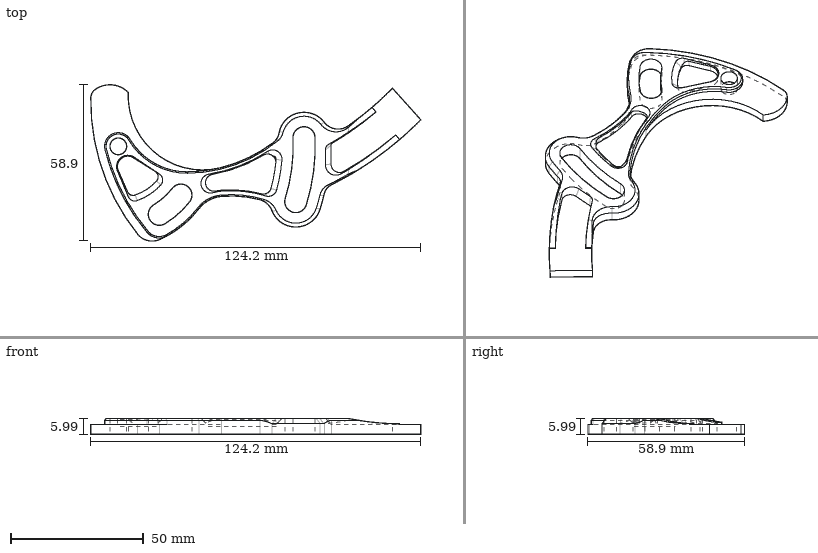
import cadquery as cq
import math


plate_top = 3.8
part_top = 5.99
pocket_floor = 3.0
ramp_low = 4.0

clearance = 10.0
cutter_width = 200.0
cutter_end_angle = -40.0
shortest_line = 0.001

pivot = (0.0, 0.0)
pivot_hole_radius = 3.1
slot_radius = 4.1
long_slot_path = 69.9
long_slot_angles = (-17.3, 2.65)
short_slot_path = 29.85
short_slot_angles = (-58.9, -37.9)

outer_center = (69.7, 17.13)
outer_radius = 80.1
cage_center = (31.7, 19.1)
cage_radius = 27.95
nose_center = (-3.13, 13.6)
nose_radius = 9.6
nose_blend = 4.1
foot_radius = 38.35
foot_corner = 6.9
foot_blend = 12.0
neck_top_center = (25.6, 44.4)
neck_bottom_center = (42.4, -61.2)
neck_bottom_radius = 42.5
boss_radius = 9.6
boss_lower_blend = 6.7
boss_upper_blend = 5.5
boss_side_radius = long_slot_path + boss_radius
arm_center = (23.8, 98.2)
arm_inner_radius = 110.05
arm_outer_radius = 126.0
arm_lower_blend = 5.2
arm_upper_blend = 6.6
arm_end_inner_angle = -43.9
arm_end_outer_angle = -44.43

pad_tip_radius = 5.15
pad_hollow = 24.8
pad_corner = 6.0
rim_slope = 37.0
rim_inset = 0.55
boss_rim_inset = 1.5

ramp_start_x = 86.6
ramp_end_x = 106.1
rail_width = 2.0
rail_end_angle = -49.4
channel_x = 77.9
channel_wall_inset = 0.3
channel_end_inset = 2.1
channel_corners = (3.9, 2.35)
channel_floor_corners = (3.2, 0.9)

foot_pocket_tip_center = (3.6, -7.6)
foot_pocket_tip_radius = 4.25
foot_pocket_end_radius = 21.6
foot_pocket_corner_angles = (-70.8, -42.2)
foot_pocket_corner = 2.7

pocket_slope = 45.0
pocket_side_inset = 0.35
pocket_end_inset = 2.2

neck_pocket_end_radius = 61.75
neck_pocket_top_inset = 1.5
neck_pocket_bottom_inset = 2.0
neck_pocket_corners = (3.6, 3.2, 3.5)
neck_base_corners = (3.19, 2.9, 3.1)


def polar(center, radius, degrees):
    angle = math.radians(degrees)
    return (center[0] + radius * math.cos(angle), center[1] + radius * math.sin(angle))


def arc(center, r):
    return (center[0], center[1], r)


def blend(before, after, r, choose=min):
    """Arc of signed radius r tangent to both neighbours, taking the shorter (min) or longer (max) turn."""
    dx, dy = after[0] - before[0], after[1] - before[1]
    gap = math.hypot(dx, dy)
    reach_before, reach_after = abs(before[2] - r), abs(after[2] - r)
    along = (gap**2 + reach_before**2 - reach_after**2) / (2 * gap)
    across = math.sqrt(reach_before**2 - along**2)
    candidates = []
    for side in (across, -across):
        x = before[0] + (dx * along - dy * side) / gap
        y = before[1] + (dy * along + dx * side) / gap
        candidates.append((x, y, r))
    return choose(candidates, key=lambda c: turn(before, c, after))


def turn(before, middle, after):
    """Unsigned angle swept by the middle arc between its two tangent neighbours."""
    start = tangent_points(before, middle)[1]
    end = tangent_points(middle, after)[0]
    return abs(sweep(middle, start, end))


def tangent_points(first, second):
    """Ends of the straight line leaving the first arc and entering the second."""
    dx, dy = second[0] - first[0], second[1] - first[1]
    gap = math.hypot(dx, dy)
    along = (first[2] - second[2]) / gap
    across = math.sqrt(max(0.0, 1 - along**2))
    nx = (dx * along + dy * across) / gap
    ny = (dy * along - dx * across) / gap
    return tuple((c[0] + c[2] * nx, c[1] + c[2] * ny) for c in (first, second))


def sweep(curve, start, end):
    """Signed angle, in radians, turned along the arc from start to end."""
    a0 = math.atan2(start[1] - curve[1], start[0] - curve[0])
    a1 = math.atan2(end[1] - curve[1], end[0] - curve[0])
    full = math.copysign(2 * math.pi, curve[2])
    return math.fmod(a1 - a0 + 2 * full, full)


def draw_arc(path, curve, start, end):
    x, y, r = curve
    half = sweep(curve, start, end) / 2
    dx, dy = start[0] - x, start[1] - y
    cos, sin = math.cos(half), math.sin(half)
    middle = (x + dx * cos - dy * sin, y + dx * sin + dy * cos)
    return path.threePointArc(middle, end)


def draw_chain(path, curves, start, end):
    """Tangent arcs from start to end, with a straight line wherever two arcs do not touch."""
    for curve, following in zip(curves, curves[1:]):
        leave, enter = tangent_points(curve, following)
        path = draw_arc(path, curve, start, leave)
        start = leave
        if math.dist(leave, enter) > shortest_line:
            path = path.lineTo(*enter)
            start = enter
    return draw_arc(path, curves[-1], start, end)


def closed_chain(curves, z):
    """Closed outline at height z of tangent arcs and the lines between them."""
    leave, enter = tangent_points(curves[-1], curves[0])
    path = cq.Workplane("XY", origin=(0, 0, z)).moveTo(*enter)
    if math.dist(leave, enter) > shortest_line:
        return draw_chain(path, curves, enter, leave).close()
    return draw_chain(path, curves, enter, enter).wire()


def offset(curve, inset):
    """Parallel arc moved toward the inside of its outline."""
    return (curve[0], curve[1], curve[2] - inset)


cage = arc(cage_center, -cage_radius)
neck_top = arc(neck_top_center, -cage_radius - math.dist(cage_center, neck_top_center))
neck_bottom = arc(neck_bottom_center, -neck_bottom_radius)
foot = arc(pivot, foot_radius)
boss_low = arc(polar(pivot, long_slot_path, long_slot_angles[0]), boss_radius)
boss_high = arc(polar(pivot, long_slot_path, long_slot_angles[1]), boss_radius)
boss_side = arc(pivot, boss_side_radius)
foot_bend = blend(foot, neck_bottom, -foot_blend)
arm_inner = arc(arm_center, -arm_inner_radius)
arm_outer = arc(arm_center, arm_outer_radius)


def upper_edge(edge_inset, boss_inset):
    """Arcs from the arm end over the boss to the top of the neck."""
    arm, neck = (offset(c, edge_inset) for c in (arm_inner, neck_top))
    high = offset(boss_high, boss_inset)
    return [
        arm,
        blend(arm, high, -arm_upper_blend - edge_inset),
        high,
        blend(high, neck, -boss_upper_blend - edge_inset),
        neck,
    ]


def lower_edge(edge_inset, boss_inset):
    """Arcs from the foot along the neck and round the boss to the arm end."""
    toe, neck, arm = (offset(c, edge_inset) for c in (foot, neck_bottom, arm_outer))
    low, side = offset(boss_low, boss_inset), offset(boss_side, boss_inset)
    return [
        toe,
        offset(foot_bend, edge_inset),
        neck,
        blend(neck, low, -boss_lower_blend - edge_inset),
        low,
        side,
        blend(side, arm, -arm_lower_blend - edge_inset),
        arm,
    ]


def circle_crossing(first, second):
    """Upper left crossing of two circles."""
    dx, dy = second[0] - first[0], second[1] - first[1]
    gap = math.hypot(dx, dy)
    along = (gap**2 + first[2] ** 2 - second[2] ** 2) / (2 * gap)
    across = math.sqrt(first[2] ** 2 - along**2)
    return (first[0] + (dx * along - dy * across) / gap, first[1] + (dy * along + dx * across) / gap)


def plate():
    """Flat lower level with the full outline."""
    outer = arc(outer_center, outer_radius)
    nose = arc(nose_center, nose_radius)
    nose_tip = circle_crossing(nose, cage)
    start = polar(arm_center, arm_inner_radius, arm_end_inner_angle)
    end = polar(arm_center, arm_outer_radius, arm_end_outer_angle)
    left_side = [nose, blend(nose, outer, nose_blend), outer, blend(outer, foot, foot_corner)]
    path = cq.Workplane("XY").moveTo(*start)
    path = draw_chain(path, upper_edge(0, 0) + [cage], start, nose_tip)
    path = draw_chain(path, left_side + lower_edge(0, 0), nose_tip, end)
    return path.close().extrude(plate_top)


def raised_outline(z, edge_inset, boss_inset):
    """Outline of the upper level: the pad on the foot, the neck, the boss and the arm."""
    upper, lower = upper_edge(edge_inset, boss_inset), lower_edge(edge_inset, boss_inset)
    tip = arc(pivot, pad_tip_radius - edge_inset)
    pad_left = arc(outer_center, math.dist(pivot, outer_center) + tip[2])
    hollow = blend(upper[-1], tip, -pad_hollow - edge_inset)
    corner = blend(pad_left, lower[0], pad_corner - edge_inset)
    start = polar(arm_center, abs(upper[0][2]), arm_end_inner_angle)
    end = polar(arm_center, lower[-1][2], arm_end_outer_angle)
    path = cq.Workplane("XY", origin=(0, 0, z)).moveTo(*start)
    path = draw_chain(path, upper + [hollow, tip, pad_left, corner] + lower, start, end)
    return path.close()


def ruled_solid(first, second):
    """Solid with ruled walls between two outlines made of matching arcs."""
    return cq.Workplane(cq.Solid.makeLoft([first.val(), second.val()], True))


def raised_level():
    """Upper level, its straight wall trimmed by the sloping rim."""
    height = part_top - plate_top
    spread = height * math.tan(math.radians(rim_slope))
    wall = raised_outline(plate_top, 0, 0).extrude(height)
    rim = raised_outline(part_top, rim_inset, boss_rim_inset)
    skirt = raised_outline(plate_top, rim_inset - spread, boss_rim_inset - spread)
    return wall.intersect(ruled_solid(skirt, rim))


def beveled_pocket(mouth, base):
    """Straight-walled pocket on the base outline, opened at the top by a bevel sloping in from the mouth."""
    well = closed_chain(base, pocket_floor).extrude(part_top - pocket_floor)
    bevel_depth = pocket_end_inset / math.tan(math.radians(pocket_slope))
    throat = [offset(curve, pocket_end_inset) for curve in mouth]
    funnel = ruled_solid(closed_chain(throat, part_top - bevel_depth), closed_chain(mouth, part_top))
    return well.union(funnel)


def foot_pocket_outline(side_inset, end_inset):
    end = arc(pivot, foot_pocket_end_radius - end_inset)
    r = foot_pocket_corner - side_inset
    low, high = (arc(polar(pivot, end[2] - r, angle), r) for angle in foot_pocket_corner_angles)
    tip = arc(foot_pocket_tip_center, foot_pocket_tip_radius - side_inset)
    return [tip, low, end, high]


def neck_pocket_outline(side_inset, end_inset, corners):
    top = offset(neck_top, neck_pocket_top_inset + side_inset)
    bottom = offset(neck_bottom, neck_pocket_bottom_inset + side_inset)
    bend = offset(foot_bend, neck_pocket_bottom_inset + side_inset)
    end = arc(pivot, neck_pocket_end_radius - end_inset)
    left, low, high = corners
    low_corner, high_corner = blend(bottom, end, low), blend(end, top, high)
    return [bend, bottom, low_corner, end, high_corner, top, blend(top, bend, left, max)]


def slot(path_radius, angles):
    """Through slot curved about the pivot."""
    first, last = angles
    middle = (first + last) / 2
    inner, outer = path_radius - slot_radius, path_radius + slot_radius
    tip = math.degrees(slot_radius / path_radius)
    return (
        cq.Workplane("XY")
        .moveTo(*polar(pivot, outer, first))
        .threePointArc(polar(pivot, outer, middle), polar(pivot, outer, last))
        .threePointArc(polar(pivot, path_radius, last + tip), polar(pivot, inner, last))
        .threePointArc(polar(pivot, inner, middle), polar(pivot, inner, first))
        .threePointArc(polar(pivot, path_radius, first - tip), polar(pivot, outer, first))
        .close()
        .extrude(part_top)
    )


def ramp_cut():
    """Material above the hollow ramp that lowers the arm rails."""
    run, drop = ramp_end_x - ramp_start_x, part_top - ramp_low
    radius = (run**2 + drop**2) / (2 * drop)
    middle_angle = -90 - math.degrees(math.asin(run / radius)) / 2
    middle = polar((ramp_end_x, ramp_low + radius), radius, middle_angle)
    far_x = ramp_end_x + cutter_width
    return (
        cq.Workplane("XZ", origin=(0, cutter_width / 2, 0))
        .moveTo(ramp_start_x, part_top)
        .threePointArc(middle, (ramp_end_x, ramp_low))
        .lineTo(far_x, ramp_low)
        .lineTo(far_x, part_top)
        .close()
        .extrude(cutter_width)
    )


def channel_outline(z, wall_inset, end_x, corners):
    """Channel mouth or floor; it runs out past the arm end."""
    outer = arc(arm_center, arm_outer_radius - rail_width - wall_inset)
    inner = arc(arm_center, -(arm_inner_radius + rail_width + wall_inset))
    ends = []
    for wall, r in zip((outer, inner), corners):
        x = end_x + r
        ends.append((x, arm_center[1] - math.sqrt((wall[2] - r) ** 2 - (x - arm_center[0]) ** 2), r))
    low, high = ends
    start = polar(arm_center, abs(inner[2]), cutter_end_angle)
    end = polar(arm_center, outer[2], cutter_end_angle)
    path = cq.Workplane("XY", origin=(0, 0, z)).moveTo(*start)
    return draw_chain(path, [inner, high, low, outer], start, end).close()


def channel_cut():
    """Channel between the arm rails."""
    mouth = channel_outline(part_top, 0, channel_x, channel_corners)
    floor_x = channel_x + channel_end_inset
    floor = channel_outline(plate_top, channel_wall_inset, floor_x, channel_floor_corners)
    return ruled_solid(floor, mouth)


def arm_tip_cut():
    """Beyond the rails the arm is only as thick as the plate."""
    return (
        cq.Workplane("XY", origin=(0, 0, plate_top))
        .moveTo(*polar(arm_center, arm_inner_radius - clearance, rail_end_angle))
        .lineTo(*polar(arm_center, arm_outer_radius + clearance, rail_end_angle))
        .lineTo(*polar(arm_center, arm_outer_radius + clearance, cutter_end_angle))
        .lineTo(*polar(arm_center, arm_inner_radius - clearance, cutter_end_angle))
        .close()
        .extrude(part_top)
    )


foot_pocket = beveled_pocket(
    foot_pocket_outline(0, 0),
    foot_pocket_outline(pocket_side_inset, pocket_end_inset),
)
neck_pocket = beveled_pocket(
    neck_pocket_outline(0, 0, neck_pocket_corners),
    neck_pocket_outline(pocket_side_inset, pocket_end_inset, neck_base_corners),
)
pivot_hole = cq.Workplane("XY").center(*pivot).circle(pivot_hole_radius).extrude(part_top)

result = plate().union(raised_level())
result = result.cut(ramp_cut()).cut(channel_cut()).cut(arm_tip_cut())
result = result.cut(foot_pocket).cut(neck_pocket)
result = result.cut(slot(long_slot_path, long_slot_angles))
result = result.cut(slot(short_slot_path, short_slot_angles))
result = result.cut(pivot_hole)